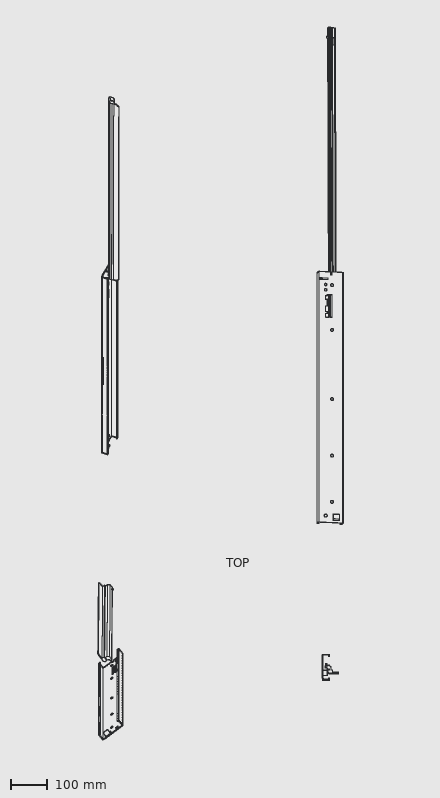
import cadquery as cq
import math

rail_length = 700.0
rail_overlap = 15.0

cabinet_sheet = 2.5
cabinet_depth = 20.0
cabinet_width = 70.0
bump_height = 0.8
lip_width = 5.5
bend_radius = 3.5
bevel_depth = 1.8
bevel_width = 7.4
cabinet_top_y = (cabinet_width + bump_height) / 2
cabinet_low_y = cabinet_top_y - cabinet_width

cut_margin = 1.0
screw_diameter = 7.5
screw_line_y = -3.0
screw_heights = [58.0, 187.0, 345.0, 538.0, 663.0]
side_hole_diameter = 6.4
low_hole_diameter = 8.3
low_hole_height = 19.0
side_hole_y = 14.6
side_hole_heights = [649.0, 664.0]
notch_y = -0.5
notch_width = 4.0
notch_depth = 9.0
slot_length = 23.5
slot_height = 4.0
slot_left_y = 32.0
slot_z = 680.0
window_low_z = 573.0
window_high_z = 636.0
window_wide_y = 15.0
window_narrow_y = 10.5
window_right_y = -2.5
tongue_left_y = 6.5
tongue_right_y = 2.0
tongue_gap = 3.0
window_steps = [(573.0, 583.0), (589.0, 604.0), (623.0, 633.0)]

stop_opening_left_y = -6.5
stop_opening_right_y = -24.0
stop_opening_low_z = 7.0
stop_opening_high_z = 24.0
stop_tab_thickness = 4.0
stop_tab_gap = 1.0
stop_tab_reach = 15.0

long_bump_z = (276.0, 312.0, 347.0, 382.0)
short_bump_z = (115.0, 152.0, 152.5, 190.0)
long_bump_x = 8.0

drawer_x = 8.0
plate_end_x = 45.0
race_top_y = 3.3
race_low_y = -2.0
race_bevel = 2.0
race_front_x = 20.0
web_back_x = 25.0
web_front_x = 21.0
web_high_y = -1.7
slope_end_x = 16.2
slope_end_y = -7.5
slope_start_x = 13.0
foot_front_x = 16.0
foot_high_y = -9.5
foot_back_x = 29.0
foot_bevel = 3.5
foot_step = 0.4
plate_low_y = -18.0
plate_sheet = 2.5
plate_corner_x = 8.0
plate_corner_z = 6.6
lean_angle = math.degrees(math.atan(0.0033))
lean_pivot_y = -15.4

catch_low_z = 652.0
catch_high_z = 672.0
catch_pad_x = 2.0
catch_pad_width = 4.0
catch_pad_y = -11.0
catch_pin_height = 5.0
catch_pin_top_y = 7.5
catch_pin_x = 12.0
catch_pin_width = 4.0


def cabinet_profile():
    """Outside and inside of the bent sheet, as one closed outline extruded to the rail length."""
    inner_top_y = cabinet_top_y - cabinet_sheet
    inner_low_y = cabinet_low_y + cabinet_sheet
    bevel_angle = math.atan2(bevel_width, bevel_depth)
    inner_bevel_x = bevel_depth + cabinet_sheet * math.tan(bevel_angle / 2)
    rise = cabinet_sheet * math.tan(math.pi / 4 - bevel_angle / 2)
    inner_bevel_y = cabinet_low_y + bevel_width + rise
    lip_x = cabinet_depth - cabinet_sheet
    points = [
        (0, cabinet_top_y),
        (cabinet_depth, cabinet_top_y),
        (cabinet_depth, cabinet_top_y - lip_width),
        (lip_x, cabinet_top_y - lip_width),
        (lip_x, inner_top_y),
        (cabinet_sheet, inner_top_y),
        (cabinet_sheet, inner_bevel_y),
        (inner_bevel_x, inner_low_y),
        (lip_x, inner_low_y),
        (lip_x, cabinet_low_y + lip_width),
        (cabinet_depth, cabinet_low_y + lip_width),
        (cabinet_depth, cabinet_low_y),
        (bevel_depth, cabinet_low_y),
        (0, cabinet_low_y + bevel_width),
    ]
    rail = cq.Workplane("XY").polyline(points).close().extrude(rail_length)
    bend = cq.selectors.NearestToPointSelector((0, cabinet_top_y, rail_length / 2))
    return rail.edges(bend).fillet(bend_radius)


def box_between(x_range, y_range, z_range):
    """Box that fills the given range along each axis."""
    sizes = [abs(b - a) for a, b in (x_range, y_range, z_range)]
    lows = [min(pair) for pair in (x_range, y_range, z_range)]
    return cq.Workplane("XY").box(*sizes, centered=False).translate(tuple(lows))


def web_opening(y_range, z_range):
    """Rectangular cutter through the cabinet rail's web only."""
    return box_between((-cut_margin, cabinet_sheet + cut_margin), y_range, z_range)


def web_holes(y, heights, diameter):
    """Round cutters through the cabinet rail's web at the given heights."""
    centres = [(y, z) for z in heights]
    plane = cq.Workplane("YZ", origin=(-cut_margin, 0, 0))
    return plane.pushPoints(centres).circle(diameter / 2).extrude(cabinet_sheet + 2 * cut_margin)


def flange_bump(x_start, levels):
    """Shallow bump with sloping ends on the low flange; levels are its four heights along Z."""
    foot_low, crest_low, crest_high, foot_high = levels
    crest_y = cabinet_low_y - bump_height
    outline = [
        (cabinet_low_y, foot_low),
        (crest_y, crest_low),
        (crest_y, crest_high),
        (cabinet_low_y, foot_high),
    ]
    plane = cq.Workplane("YZ", origin=(x_start, 0, 0))
    return plane.polyline(outline).close().extrude(cabinet_depth - x_start)


def make_cabinet_rail():
    """C-shaped rail with its holes, sprung tongue, stop tab and flange bumps."""
    rail = cabinet_profile()
    rail = rail.cut(web_holes(screw_line_y, screw_heights, screw_diameter))
    rail = rail.cut(web_holes(side_hole_y, side_hole_heights, side_hole_diameter))
    rail = rail.cut(web_holes(side_hole_y, [low_hole_height], low_hole_diameter))

    notch_span = (notch_y - notch_width / 2, notch_y + notch_width / 2)
    rail = rail.cut(web_opening(notch_span, (rail_length - notch_depth, rail_length)))
    slot_span = (slot_left_y - slot_length, slot_left_y)
    rail = rail.cut(web_opening(slot_span, (slot_z - slot_height / 2, slot_z + slot_height / 2)))

    rail = rail.cut(web_opening((window_right_y, window_narrow_y), (window_low_z, window_high_z)))
    tongue_z = (window_low_z, window_high_z - tongue_gap)
    rail = rail.union(box_between((0, cabinet_sheet), (tongue_right_y, tongue_left_y), tongue_z))
    for step_z in window_steps:
        rail = rail.cut(web_opening((window_narrow_y, window_wide_y), step_z))

    opening_y = (stop_opening_right_y, stop_opening_left_y)
    rail = rail.cut(web_opening(opening_y, (stop_opening_low_z, stop_opening_high_z)))
    tab_y = (stop_opening_right_y + stop_tab_gap, stop_opening_left_y - stop_tab_gap)
    tab_z = (stop_opening_low_z, stop_opening_low_z + stop_tab_thickness)
    rail = rail.union(box_between((0, stop_tab_reach), tab_y, tab_z))

    rail = rail.union(flange_bump(long_bump_x, long_bump_z))
    return rail.union(flange_bump(bevel_depth, short_bump_z))


def drawer_profile():
    """Ball race, web, foot and side plate as one upright extrusion from Z = 0."""
    plate_high_y = plate_low_y + plate_sheet
    foot_low_y = plate_low_y - foot_step
    points = [
        (drawer_x, race_top_y - race_bevel),
        (drawer_x + race_bevel, race_top_y),
        (race_front_x, race_top_y),
        (web_back_x, web_high_y),
        (web_back_x, foot_high_y),
        (foot_back_x, foot_high_y),
        (foot_back_x, plate_high_y),
        (plate_end_x, plate_high_y),
        (plate_end_x, plate_low_y),
        (web_back_x, plate_low_y),
        (web_back_x, foot_low_y),
        (foot_front_x + foot_bevel, foot_low_y),
        (foot_front_x, foot_low_y + foot_bevel),
        (foot_front_x, foot_high_y),
        (web_front_x, foot_high_y),
        (web_front_x, slope_end_y),
        (slope_end_x, slope_end_y),
        (slope_start_x, race_low_y),
        (drawer_x, race_low_y),
    ]
    return cq.Workplane("XY").polyline(points).close().extrude(rail_length)


def make_drawer_rail():
    """Drawer rail with cut plate corners and catch, leaned slightly towards +Y and lifted."""
    rail = drawer_profile()
    for end_z, inward in ((0, 1), (rail_length, -1)):
        corner = [
            (plate_end_x, end_z),
            (plate_end_x - plate_corner_x, end_z),
            (plate_end_x, end_z + inward * plate_corner_z),
        ]
        cutter = cq.Workplane("XZ").polyline(corner).close().extrude(cabinet_width, both=True)
        rail = rail.cut(cutter)

    pad_y = (catch_pad_y - catch_pad_width, catch_pad_y)
    pad_x = (foot_front_x - catch_pad_x, foot_front_x)
    rail = rail.union(box_between(pad_x, pad_y, (catch_low_z, catch_high_z)))
    pin_x = (catch_pin_x - catch_pin_width / 2, catch_pin_x + catch_pin_width / 2)
    pin_z = (catch_high_z - catch_pin_height / 2, catch_high_z + catch_pin_height / 2)
    rail = rail.union(box_between(pin_x, (race_top_y, catch_pin_top_y), pin_z))

    rail = rail.rotate((0, lean_pivot_y, 0), (1, lean_pivot_y, 0), -lean_angle)
    return rail.translate((0, 0, rail_length - rail_overlap))


cabinet_rail = make_cabinet_rail()
drawer_rail = make_drawer_rail()
result = cq.Compound.makeCompound([cabinet_rail.val(), drawer_rail.val()])